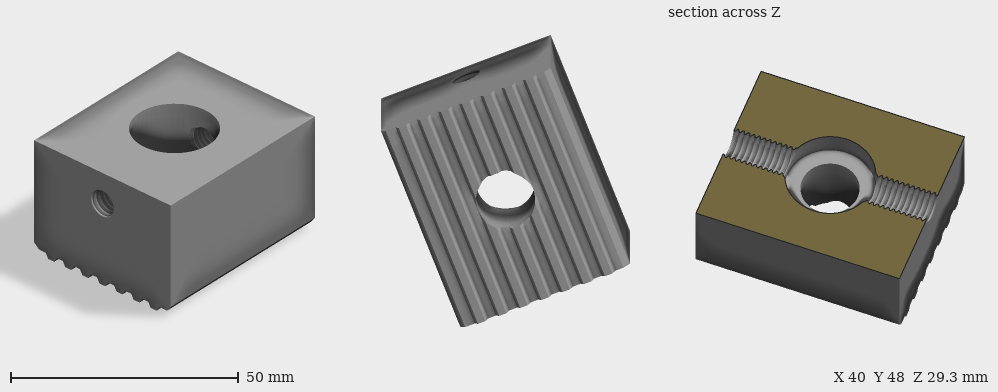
import cadquery as cq
import math

width = 40.0
length = 48
height = 29.3

tooth_count = 7
tooth_pitch = 5.0
tooth_depth = 1.3
tooth_tip_width = 1.75
tooth_base_width = 3.15

left_bevel_width = 1.55
left_bevel_height = 1.3
right_bevel_width = 1.1
right_bevel_height = 1.5

bore_diameter = 13.0
counterbore_diameter = 20.0
counterbore_depth = 13.5

cross_hole_drop = 8.0
thread_major_diameter = 7.8
thread_minor_diameter = 6.5
thread_flank_angle = 30
thread_crest_count = 39
end_crest_inset = 0.25
thread_pitch = (length - 2 * end_crest_inset) / (thread_crest_count - 1)
thread_crest_width = thread_pitch / 4


def block_outline():
    """XZ section of the block, with its bevelled lower corners and teeth."""
    left = -width / 2
    right = width / 2
    root = tooth_depth
    points = [
        (left, height),
        (left, root + left_bevel_height),
        (left + left_bevel_width, root),
    ]
    for index in range(tooth_count):
        center = (index - (tooth_count - 1) / 2) * tooth_pitch
        points += [
            (center - tooth_base_width / 2, root),
            (center - tooth_tip_width / 2, 0),
            (center + tooth_tip_width / 2, 0),
            (center + tooth_base_width / 2, root),
        ]
    points += [
        (right - right_bevel_width, root),
        (right, root + right_bevel_height),
        (right, height),
    ]
    return points


def vertical_hole():
    """Through bore with a counterbore sunk from the top face."""
    top = cq.Workplane("XY").workplane(offset=height)
    bore = top.circle(bore_diameter / 2).extrude(-height)
    counterbore = top.circle(counterbore_diameter / 2).extrude(-counterbore_depth)
    return bore.union(counterbore)


def threaded_hole():
    """Cutter for the cross hole: a half profile of V grooves revolved about its Y axis."""
    major_radius = thread_major_diameter / 2
    minor_radius = thread_minor_diameter / 2
    flank_slope = math.tan(math.radians(thread_flank_angle))
    flank_width = (major_radius - minor_radius) * flank_slope
    half_crest = thread_crest_width / 2
    mouth_radius = minor_radius + (end_crest_inset - half_crest) / flank_slope

    points = [(0, -length / 2), (mouth_radius, -length / 2)]
    for index in range(thread_crest_count):
        crest = (index - (thread_crest_count - 1) / 2) * thread_pitch
        if index > 0:
            points.append((major_radius, crest - half_crest - flank_width))
        points.append((minor_radius, crest - half_crest))
        points.append((minor_radius, crest + half_crest))
        if index < thread_crest_count - 1:
            points.append((major_radius, crest + half_crest + flank_width))
    points += [(mouth_radius, length / 2), (0, length / 2)]

    profile = cq.Workplane("XY").polyline(points).close()
    cutter = profile.revolve(360, (0, 0, 0), (0, 1, 0))
    return cutter.translate((0, 0, height - cross_hole_drop))


block = cq.Workplane("XZ").polyline(block_outline()).close().extrude(length / 2, both=True)
result = block.cut(vertical_hole()).cut(threaded_hole())